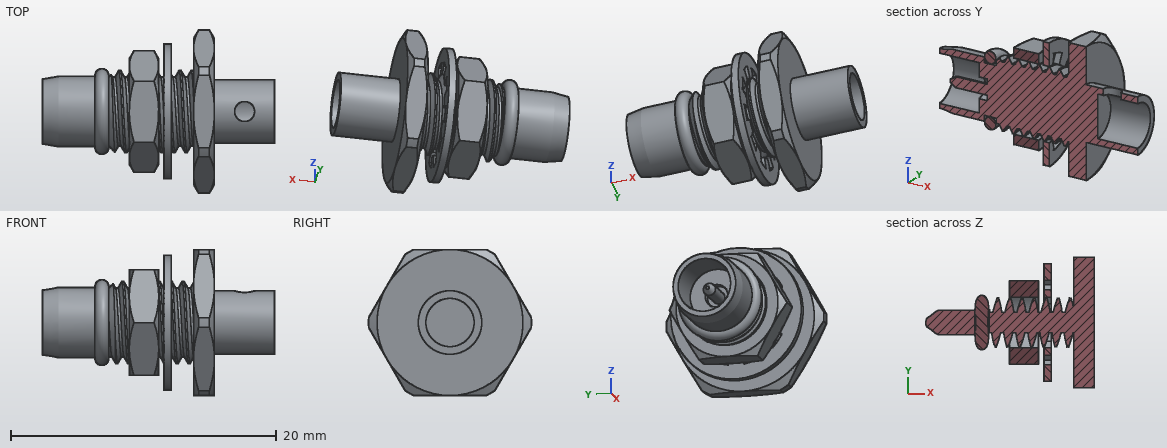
import cadquery as cq
import math


total_length = 17.5
nose_tip_radius = 2.45
nose_radius = 2.66
nose_taper_length = 1.22
flange_start = 11.4
flange_end = 12.97
tail_radius = 2.4

ring_start = 3.95
ring_section_radius = 0.52
ring_outer_radius = 3.24
ring_center_radius = ring_outer_radius - ring_section_radius
ring_end = ring_start + 2 * ring_section_radius
groove_radius = ring_outer_radius - 2 * ring_section_radius

thread_root_radius = 2.6
thread_crest_radius = 3.1
thread_pitch = 0.91
thread_crest_width = 0.14
thread_flank_angle = 30.0
thread_first_crest = 3.78
thread_turns = 9
thread_embed = 0.07
cutter_margin = 0.18

socket_radius = 2.05
socket_depth = 3.5
recess_radius = 0.88
recess_depth = 0.7
pin_radius = 0.47
pin_tip_radius = 0.12
pin_tip_x = 0.93
pin_cone_length = 0.52

cable_bore_radius = 1.82
cable_bore_depth = 3.5
side_hole_radius = 0.75
side_hole_x = 15.25

thread_clearance = 0.02
clearance_radius = thread_crest_radius + thread_clearance

flange_across_flats = 11.0
flange_corner_diameter = 12.3
hex_chamfer_angle = 30.0
nut_across_flats = 7.96
nut_start = 6.55
nut_end = 8.77

washer_start = 9.15
washer_end = 9.71
washer_radius = 5.1
washer_notch_radius = 4.02
washer_notch_count = 10
washer_notch_angle = 18.0


def cylinder(start, end, radius):
    """Solid cylinder on the X axis between two X positions."""
    return cq.Workplane("YZ").workplane(offset=start).circle(radius).extrude(end - start)


def revolved(points):
    """Solid of revolution about the X axis from (x, radius) points."""
    return cq.Workplane("XY").polyline(points).close().revolve(360, (0, 0, 0), (1, 0, 0))


def diameter_over_points(across_flats):
    """Diameter through the sharp corners of a hexagon."""
    return across_flats * 2 / math.sqrt(3)


def hexagon(start, end, across_flats, corner_diameter):
    """Hexagon with flats on +Z and -Z, its corners chamfered by a cone at both ends."""
    face_radius = across_flats / 2
    corner_radius = corner_diameter / 2
    chamfer = (corner_radius - face_radius) * math.tan(math.radians(hex_chamfer_angle))
    prism = (
        cq.Workplane("YZ")
        .workplane(offset=start)
        .polygon(6, diameter_over_points(across_flats))
        .extrude(end - start)
    )
    envelope = revolved([
        (start, 0),
        (start, face_radius),
        (start + chamfer, corner_radius),
        (end - chamfer, corner_radius),
        (end, face_radius),
        (end, 0),
    ])
    return prism.intersect(envelope)


def make_thread():
    """Helical ridge from the O-ring into the flange, with a 45 degree lead-in."""
    sweep_radius = thread_root_radius - thread_embed
    depth = thread_crest_radius - sweep_radius
    crest_half = thread_crest_width / 2
    base_half = crest_half + depth * math.tan(math.radians(thread_flank_angle))
    path = cq.Wire.makeHelix(thread_pitch, thread_pitch * thread_turns, sweep_radius)
    ridge = (
        cq.Workplane("XZ")
        .polyline([
            (sweep_radius, -base_half),
            (thread_crest_radius, -crest_half),
            (thread_crest_radius, crest_half),
            (sweep_radius, base_half),
        ])
        .close()
        .sweep(cq.Workplane(path), isFrenet=True)
        .rotate((0, 0, 0), (0, 1, 0), 90)
        .translate((thread_first_crest, 0, 0))
    )
    envelope_radius = thread_crest_radius + cutter_margin
    envelope_end = (flange_start + flange_end) / 2
    envelope = revolved([
        (ring_end, 0),
        (ring_end, thread_root_radius),
        (ring_end + envelope_radius - thread_root_radius, envelope_radius),
        (envelope_end, envelope_radius),
        (envelope_end, 0),
    ])
    return ridge.intersect(envelope)


def make_connector():
    """Turned core with thread, hexagonal flange, mating socket, pin and cable bore."""
    core = revolved([
        (0, 0),
        (0, nose_tip_radius),
        (nose_taper_length, nose_radius),
        (ring_start, nose_radius),
        (ring_start, groove_radius),
        (ring_end, groove_radius),
        (ring_end, thread_root_radius),
        (flange_start, thread_root_radius),
        (flange_start, tail_radius),
        (total_length, tail_radius),
        (total_length, 0),
    ])
    flange = hexagon(flange_start, flange_end, flange_across_flats, flange_corner_diameter)
    recess_floor = socket_depth + recess_depth
    pin_shoulder = pin_tip_x + pin_cone_length
    pin = revolved([
        (pin_tip_x, 0),
        (pin_tip_x, pin_tip_radius),
        (pin_shoulder, pin_radius),
        (recess_floor, pin_radius),
        (recess_floor, 0),
    ])
    side_hole = (
        cq.Workplane("XY")
        .center(side_hole_x, 0)
        .circle(side_hole_radius)
        .extrude(tail_radius + cutter_margin)
    )
    return (
        core.union(make_thread())
        .union(flange)
        .cut(cylinder(0, socket_depth, socket_radius))
        .cut(cylinder(socket_depth, recess_floor, recess_radius))
        .union(pin)
        .cut(cylinder(total_length - cable_bore_depth, total_length, cable_bore_radius))
        .cut(side_hole)
    )


def make_o_ring():
    """Round-section ring seated in the groove."""
    return (
        cq.Workplane("XY")
        .center(ring_start + ring_section_radius, ring_center_radius)
        .circle(ring_section_radius)
        .revolve(360, (0, -ring_center_radius, 0), (1, -ring_center_radius, 0))
    )


def make_nut():
    """Hexagon nut with sharp corners and a bore that clears the thread."""
    corner_diameter = diameter_over_points(nut_across_flats)
    nut = hexagon(nut_start, nut_end, nut_across_flats, corner_diameter)
    return nut.cut(cylinder(nut_start, nut_end, clearance_radius))


def make_lock_washer():
    """Flat washer with inward teeth left between radial notches."""
    washer = cylinder(washer_start, washer_end, washer_radius)
    washer = washer.cut(cylinder(washer_start, washer_end, clearance_radius))
    half_angle = math.radians(washer_notch_angle / 2)
    edge_y = washer_notch_radius * math.cos(half_angle)
    edge_z = washer_notch_radius * math.sin(half_angle)
    notch = (
        cq.Workplane("YZ")
        .workplane(offset=washer_start)
        .lineTo(edge_y, -edge_z)
        .threePointArc((washer_notch_radius, 0), (edge_y, edge_z))
        .close()
        .extrude(washer_end - washer_start)
    )
    for index in range(washer_notch_count):
        angle = index * 360 / washer_notch_count
        washer = washer.cut(notch.rotate((0, 0, 0), (1, 0, 0), angle))
    return washer


connector = make_connector()
o_ring = make_o_ring()
nut = make_nut()
lock_washer = make_lock_washer()

result = cq.Compound.makeCompound([connector.val(), o_ring.val(), nut.val(), lock_washer.val()])